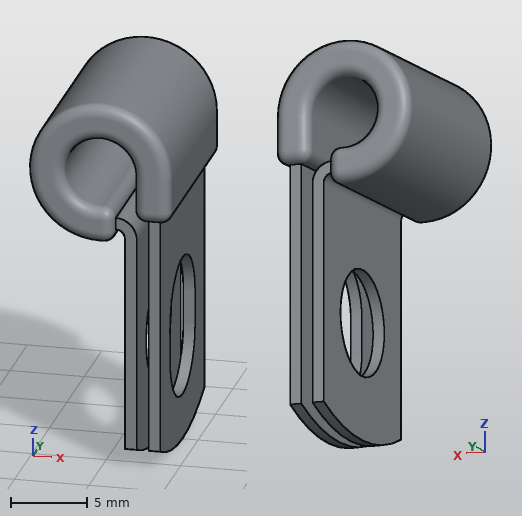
import cadquery as cq

bore_radius = 2.375
thickness = 0.8
cushion_length = 14.29
cushion_leg = 3.175
cushion_lip = 0.975
bend_inner_radius = 0.6
hole_diameter = 7.14
slot_length = 9.525
hole_depth = 12.7
tab_depth = 20.575
tab_end_rise = 1.34
cushion_rounding = 0.762

strap_inner_radius = bore_radius + thickness
strap_outer_radius = strap_inner_radius + thickness
cushion_outer_radius = strap_outer_radius + thickness
strap_width = cushion_length - 2 * thickness
bend_outer_radius = bend_inner_radius + thickness
bend_x = cushion_lip
bend_z = -(strap_inner_radius + bend_outer_radius)
near_tab_inner_x = bend_x + bend_inner_radius
near_tab_outer_x = bend_x + bend_outer_radius
diagonal = 0.5 ** 0.5


def profile_plane(width):
    """XZ sketch plane at the -Y end of a body of the given width centred on Y = 0."""
    return cq.Workplane(cq.Plane(origin=(0, -width / 2, 0), xDir=(1, 0, 0), normal=(0, -1, 0)))


def make_cushion():
    """Hook-shaped sleeve with every outer edge rounded around the strap."""
    body = (
        profile_plane(cushion_length)
        .moveTo(cushion_outer_radius, -cushion_leg)
        .lineTo(cushion_outer_radius, 0)
        .threePointArc((-cushion_outer_radius * diagonal, cushion_outer_radius * diagonal),
                       (0, -cushion_outer_radius))
        .lineTo(cushion_lip, -cushion_outer_radius)
        .lineTo(cushion_lip, -bore_radius)
        .lineTo(0, -bore_radius)
        .threePointArc((-bore_radius * diagonal, bore_radius * diagonal), (bore_radius, 0))
        .lineTo(bore_radius, -cushion_leg)
        .close()
        .extrude(-cushion_length)
    )
    mid_radius = (bore_radius + cushion_outer_radius) / 2
    leg_end = cq.selectors.NearestToPointSelector((mid_radius, 0, -cushion_leg))
    lip_end = cq.selectors.NearestToPointSelector((cushion_lip, 0, -mid_radius))
    rims = body.faces("|Y").edges()
    ends = body.faces(leg_end).edges("|Y").add(body.faces(lip_end).edges("|Y"))
    return rims.add(ends).fillet(cushion_rounding)


def make_tab(inner_x, top_z):
    """Flat tab, one strap thickness along X, closed by a shallow arc at the bottom."""
    half_width = strap_width / 2
    corner_z = -tab_depth + tab_end_rise
    return (
        cq.Workplane("YZ", origin=(inner_x, 0, 0))
        .moveTo(-half_width, top_z)
        .lineTo(-half_width, corner_z)
        .threePointArc((0, -tab_depth), (half_width, corner_z))
        .lineTo(half_width, top_z)
        .close()
        .extrude(thickness)
    )


def make_bend():
    """Quarter bend leading from the cushion lip down to the near tab."""
    return (
        profile_plane(strap_width)
        .moveTo(0, -strap_inner_radius)
        .lineTo(bend_x, -strap_inner_radius)
        .threePointArc((bend_x + bend_outer_radius * diagonal, bend_z + bend_outer_radius * diagonal),
                       (near_tab_outer_x, bend_z))
        .lineTo(near_tab_inner_x, bend_z)
        .threePointArc((bend_x + bend_inner_radius * diagonal, bend_z + bend_inner_radius * diagonal),
                       (bend_x, -strap_outer_radius))
        .lineTo(0, -strap_outer_radius)
        .close()
        .extrude(-strap_width)
    )


def make_hole_cutter():
    """Round mounting hole through the near tab along X."""
    return (
        cq.Workplane("YZ", origin=(near_tab_inner_x, 0, -hole_depth))
        .circle(hole_diameter / 2)
        .extrude(thickness)
    )


def make_slot_cutter():
    """Upright round-ended slot through the far tab along X, centred on the hole axis."""
    return (
        cq.Workplane("YZ", origin=(strap_inner_radius, 0, -hole_depth))
        .slot2D(slot_length, hole_diameter, 90)
        .extrude(thickness)
    )


result = (
    make_cushion()
    .union(make_bend())
    .union(make_tab(near_tab_inner_x, bend_z))
    .union(make_tab(strap_inner_radius, 0))
    .cut(make_hole_cutter())
    .cut(make_slot_cutter())
)